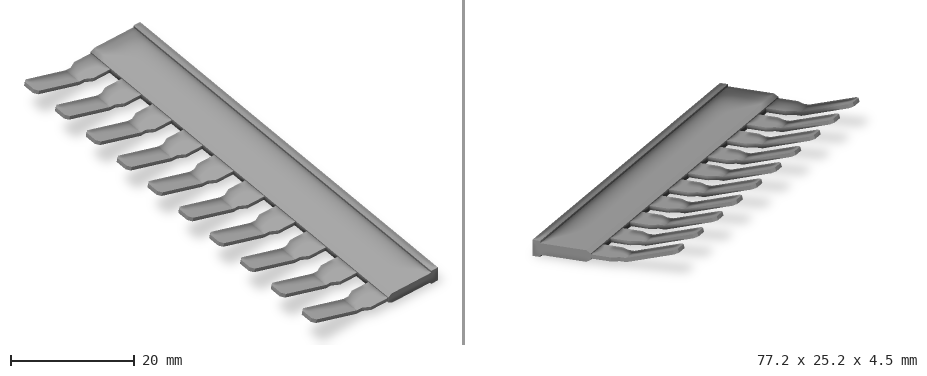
import cadquery as cq
import math


spine_length = 77.2
spine_depth = 10.3
spine_thickness = 2.0
lip_depth = 1.4
lip_thickness = 2.8
nose_depth = 0.8
nose_thickness = 1.1

prong_count = 10
end_to_first_prong = 2.6
prong_pitch = (spine_length - 2 * end_to_first_prong) / (prong_count - 1)
prong_thickness = 0.7
shoulder_width = 5.0
blade_width = 3.55
taper_start = 13.75
taper_end = 15.05
bend_distance = 16.05
tip_distance = 25.2
bend_angle = math.radians(17.1)
tip_chamfer = 0.6
embed_depth = 0.8


def make_spine():
    """Bar with a thicker lip along the back and a bevelled front edge."""
    lip_z = lip_thickness / 2
    body_z = spine_thickness / 2
    nose_z = nose_thickness / 2
    upper_half = [
        (0, lip_z),
        (-lip_depth, lip_z),
        (-lip_depth, body_z),
        (-spine_depth + nose_depth, body_z),
        (-spine_depth, nose_z),
    ]
    lower_half = [(y, -z) for y, z in reversed(upper_half)]
    return cq.Workplane("YZ").polyline(upper_half + lower_half).close().extrude(spine_length)


def make_shoulder():
    """Flat wide root of a prong, tapering to the blade width, centred on X = 0."""
    root_y = -spine_depth + embed_depth
    right_side = [
        (shoulder_width / 2, root_y),
        (shoulder_width / 2, -taper_start),
        (blade_width / 2, -taper_end),
    ]
    left_side = [(-x, y) for x, y in reversed(right_side)]
    return (
        cq.Workplane("XY")
        .workplane(offset=-prong_thickness / 2)
        .polyline(right_side + left_side)
        .close()
        .extrude(prong_thickness)
    )


def make_blade():
    """Narrow strip, bent upward, with a square-cut end and chamfered corners."""
    half = prong_thickness / 2
    root_y = -spine_depth + embed_depth
    lower_bend_y = -bend_distance - prong_thickness * math.tan(bend_angle / 2)
    lower_tip_y = -tip_distance
    lower_tip_z = -half + (lower_bend_y - lower_tip_y) * math.tan(bend_angle)
    upper_tip_y = lower_tip_y + prong_thickness * math.sin(bend_angle)
    upper_tip_z = lower_tip_z + prong_thickness * math.cos(bend_angle)
    profile = [
        (root_y, -half),
        (lower_bend_y, -half),
        (lower_tip_y, lower_tip_z),
        (upper_tip_y, upper_tip_z),
        (-bend_distance, half),
        (root_y, half),
    ]
    blade = cq.Workplane("YZ").polyline(profile).close().extrude(blade_width / 2, both=True)
    return blade.faces("<Y").edges("not |X").chamfer(tip_chamfer)


prong = make_shoulder().union(make_blade())

result = make_spine()
for index in range(prong_count):
    prong_x = end_to_first_prong + index * prong_pitch
    result = result.union(prong.translate((prong_x, 0, 0)))